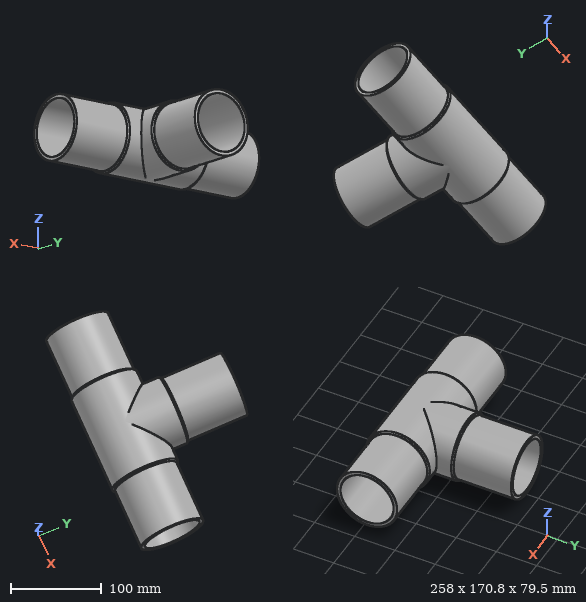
import cadquery as cq

run_length = 258.0
branch_reach = 131.0
body_diameter = 79.5
spigot_diameter = 75.0
bore_diameter = 66.0
spigot_length = 71.2
shoulder_chamfer = 2.0

run_body_length = run_length - 2 * spigot_length
branch_body_reach = branch_reach - spigot_length


def run_cylinder(diameter, length):
    """Cylinder along X, centred on the origin."""
    return cq.Workplane("YZ").circle(diameter / 2).extrude(length / 2, both=True)


def branch_cylinder(diameter, length):
    """Cylinder from the run axis towards +Y."""
    return cq.Workplane("XZ").circle(diameter / 2).extrude(-length)


run_body = run_cylinder(body_diameter, run_body_length).faces("<X or >X").chamfer(shoulder_chamfer)
branch_body = branch_cylinder(body_diameter, branch_body_reach).faces(">Y").chamfer(shoulder_chamfer)

run_spigots = run_cylinder(spigot_diameter, run_length)
branch_spigot = branch_cylinder(spigot_diameter, branch_reach)

run_bore = run_cylinder(bore_diameter, run_length)
branch_bore = branch_cylinder(bore_diameter, branch_reach)

outside = run_body.union(branch_body).union(run_spigots).union(branch_spigot)
result = outside.cut(run_bore).cut(branch_bore)